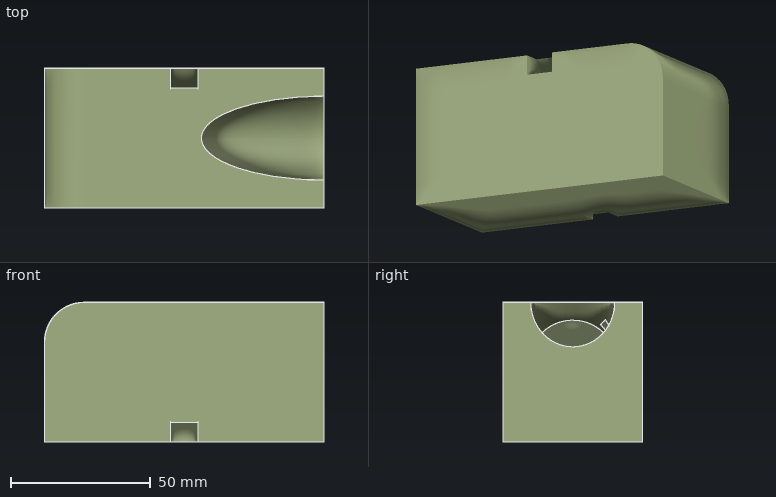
import cadquery as cq
import math

length = 100.0
width = 50.0
height = 50.0
nose_radius = 14.3

slot_size = 10.0

bore_diameter = 30.0
bore_slope = 20.0
bore_depth = 60.0
bore_overrun = 30.0



def make_block():
    block = cq.Workplane("XY").box(length, width, height, centered=False)
    return block.edges("<X and >Z").fillet(nose_radius)


def make_slot():
    """Square passage from the bottom edge at -Y up to the top edge at +Y."""
    diagonal = math.hypot(width, height)
    rise = math.degrees(math.atan2(height, width))
    return (
        cq.Workplane("XY")
        .box(slot_size, diagonal + 2 * slot_size, slot_size)
        .rotate((0, 0, 0), (1, 0, 0), rise)
        .translate((length / 2, width / 2, height / 2))
    )


def make_bore():
    """Cylinder whose axis runs down towards -X from the middle of the top edge."""
    slope = math.radians(bore_slope)
    direction = cq.Vector(-math.cos(slope), 0, -math.sin(slope))
    edge_middle = cq.Vector(length, width / 2, height)
    start = edge_middle - direction * bore_overrun
    cutter_length = bore_overrun + bore_depth
    return cq.Workplane(cq.Solid.makeCylinder(bore_diameter / 2, cutter_length, start, direction))


result = make_block().cut(make_slot()).cut(make_bore())